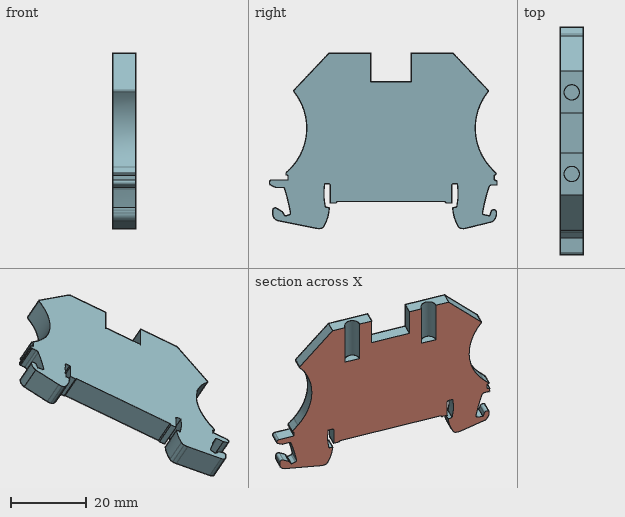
import cadquery as cq

thickness = 6.1
height = 46.25

tower_outer_y = 16.3
shoulder_y = 25.75
shoulder_z = 36.3
shoulder_round = 0.35
waist_y = 22.2
waist_z = 26.5
waist_end_y = 26.1
waist_end_z = 16.25

gap_width = 10.55
gap_floor_z = 38.75
screw_diameter = 4.0
screw_spacing = 21.5
screw_depth = 12.0

seat_y = 16.0
seat_pad_z = 6.8
seat_floor_z = 7.15
pad_inner_y = 14.45
pad_step_y = 14.15
slot_top_z = 11.8
slot_round = 0.25


def half_plate(outer_foot):
    """Extrude the +Y half of the plate with the given foot outside."""
    path = cq.Workplane("YZ").moveTo(0, height).lineTo(tower_outer_y, height)
    path = path.lineTo(shoulder_y, shoulder_z)
    path = path.threePointArc((waist_y, waist_z), (waist_end_y, waist_end_z))
    path = inner_foot(outer_foot(path)).lineTo(0, seat_floor_z).close()
    half = path.extrude(thickness / 2, both=True)
    corner = cq.selectors.NearestToPointSelector((0, shoulder_y, shoulder_z))
    return half.edges("|X").edges(corner).fillet(shoulder_round)


def hooked_foot(path):
    """Draw the outside of the +Y foot, from the waist down to the sole."""
    path = path.lineTo(27.8, 14.45).lineTo(27.25, 14.05).lineTo(27.25, 12.9)
    path = path.lineTo(27.95, 12.55).lineTo(27.95, 11.6).lineTo(27.65, 11.45)
    path = path.lineTo(26.4, 11.45)
    path = path.threePointArc((26.05, 11.35), (25.8, 11.0))
    path = path.threePointArc((24.8, 7.4), (24.1, 4.25))
    path = path.threePointArc((24.2, 3.9), (24.5, 3.7))
    path = path.lineTo(26.0, 3.4).lineTo(26.35, 4.55)
    path = path.threePointArc((27.0, 5.05), (27.8, 4.3))
    return path.threePointArc((27.55, 2.9), (26.6, 1.8)).lineTo(19.55, 0.05)


def inner_foot(path):
    """Draw the +Y foot from its sole, up its rail slot, to the rail seat."""
    path = path.threePointArc((19.0, 0.0), (18.5, 0.05))
    path = path.threePointArc((18.0, 0.25), (17.65, 0.65))
    path = path.threePointArc((16.6, 3.05), (16.2, 5.5)).lineTo(17.3, 5.75)
    path = path.threePointArc((17.65, 9.35), (17.45, slot_top_z))
    path = path.lineTo(seat_y + slot_round, slot_top_z)
    path = path.lineTo(seat_y, slot_top_z - slot_round)
    path = path.lineTo(seat_y, seat_pad_z).lineTo(pad_inner_y, seat_pad_z)
    return path.lineTo(pad_step_y, seat_floor_z)


def release_foot(path):
    """Draw the outside of the -Y foot, mirrored to +Y, from the waist down to the sole."""
    path = path.lineTo(27.65, 14.7).lineTo(27.65, 14.15).lineTo(27.2, 14.05)
    path = path.lineTo(27.2, 12.9).lineTo(31.45, 12.9)
    path = path.threePointArc((32.05, 12.25), (31.8, 11.6))
    path = path.threePointArc((31.1, 11.15), (30.35, 10.85)).lineTo(28.45, 10.85)
    path = path.threePointArc((28.15, 10.75), (28.0, 10.5))
    path = path.threePointArc((27.1, 7.2), (26.5, 4.3))
    path = path.threePointArc((26.5, 3.95), (26.8, 3.7))
    path = path.lineTo(27.9, 3.35).lineTo(28.6, 4.5).lineTo(30.2, 5.45)
    path = path.threePointArc((30.9, 5.4), (31.15, 4.9)).lineTo(31.15, 4.15)
    return path.threePointArc((30.85, 2.9), (29.7, 2.1)).lineTo(19.55, 0.05)


plate = half_plate(hooked_foot).union(half_plate(release_foot).mirror("XZ")).clean()

gap_depth = height - gap_floor_z
gap = cq.Workplane("XY").workplane(offset=gap_floor_z).rect(thickness, gap_width).extrude(gap_depth)

screw_holes = (
    cq.Workplane("XY")
    .workplane(offset=height - screw_depth)
    .pushPoints([(0, -screw_spacing / 2), (0, screw_spacing / 2)])
    .circle(screw_diameter / 2)
    .extrude(screw_depth)
)

result = plate.cut(gap).cut(screw_holes)